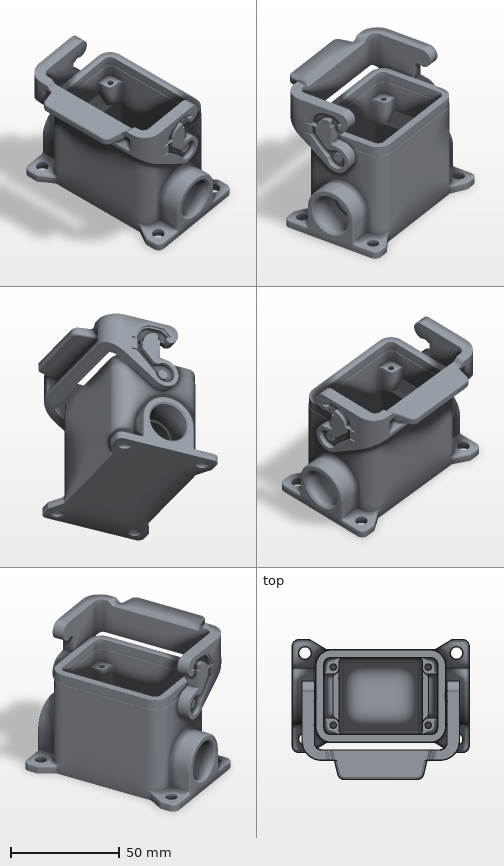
import cadquery as cq
import math

overlap = 0.8
tolerance = 0.1

body_x = 60.35
body_y = 43.1
body_height = 52.7
body_corner = 7.2
collar_bottom = 47.7
collar_step = 0.25

opening_x = 52.8
opening_y = 35.6
opening_corner = 3.1
well_x = 38.7
floor_z = 3.85
well_fillet = 2.0
well_floor_fillet = 1.9
post_top = 41.0
post_gap = 20.3
post_corner = 2.6
gap_corner = 0.8
ledge_z = 29.5
ledge_slope_run = 4.1
ledge_slope_rise = 4.1
post_hole_x = 22.0
post_hole_y = 13.45
post_hole_diameter = 2.95
post_hole_depth = 9.8

flange_x = 82.0
flange_y = 52.3
flange_height = 3.9
flange_corner = 3.1
foot_edge_x = 33.0
foot_root_x = 25.25
foot_setback = 0.04
foot_hole_x = 35.1
foot_hole_y = 19.9
foot_hole_diameter = 5.7
edge_fillet = 0.9
root_fillet = 1.0

port_z = 14.9
port_radius = 13.0
port_bore_radius = 9.5
port_bore_depth = 16.4
port_bore_chamfer = 0.8
port_hole_radius = 8.1

pivot_z = 43.5
pivot_radius = 7.0
lever_x = 73.0
lever_arm = 5.8
lever_front = 29.8
lever_web = 4.9
lever_top = 69.2
lever_corner = 9.2
lever_inner_corner = 3.4
web_bottom = 55.8
hook_radius = 4.6
hook_y = 2.3
slot_y = -2.6
slot_bottom = 50.9
hook_notch_start = -1.8
hook_notch_height = 0.8
neck_angle = 72.0
pin_radius = 2.5
washer_radius = 3.6
pin_inset = 1.6
pin_chamfer = 0.3

recess_depth = 2.8
rim_depth = 0.8
rim_width = 0.9
recess_hub_radius = 4.9
island_y, island_z, island_radius = -5.0, 57.3, 5.8
island_end_y = -3.7
island_chamfer = 0.6
bow_y, bow_z, bow_radius = -6.1, 57.8, 8.0
recess_tip_y, recess_tip_z = 2.0, 62.65
recess_tip_run = 3.4
recess_tip_rise = 1.0
recess_mouth_y = 1.0
link_outline = [
    (-14.3, 57.4), (-14.3, 51.75), (-4.3, 41.9), (-0.8, 43.5), (-2.5, 47.4), (-5.25, 47.4),
    (-10.1, 52.6), (-11.15, 53.5), (-11.65, 57.4),
]
ticks = [(57.4, 2.8, 1.3), (51.75, 2.8, 0.9)]

grip_front = 38.6
grip_top = 67.15
grip_bottom = 63.05
grip_root_bottom = 62.15
grip_front_half = 19.35
grip_root_half = 22.55
grip_corner = 3.3
notch_margin = 0.6
notch_fillet = 1.2
notch_slope = 45.0
grip_pocket_x = 53.0
grip_pocket_z = 8.4
grip_pocket_middle = 61.75
grip_pocket_corner = 1.2
grip_pocket_depth = 2.7
grip_pocket_fillet = 0.4


def box(size_x, size_y, bottom, top, corner):
    """Upright block centred on Z with rounded vertical edges."""
    block = cq.Workplane("XY").workplane(offset=bottom).rect(size_x, size_y).extrude(top - bottom)
    return block.edges("|Z").fillet(corner)


def both_sides(shape):
    """The shape together with its mirror image across the YZ plane."""
    return shape.union(shape.mirror("YZ"))


def make_feet():
    """The pair of feet and the flange strip at the +X end."""
    half_x = flange_x / 2
    half_y = flange_y / 2
    root_y = body_y / 2 - foot_setback
    outline = [
        (0, -root_y), (foot_root_x, -root_y), (foot_edge_x, -half_y), (half_x, -half_y),
        (half_x, half_y), (foot_edge_x, half_y), (foot_root_x, root_y), (0, root_y),
    ]
    feet = cq.Workplane("XY").polyline(outline).close().extrude(flange_height)
    feet = feet.edges("|Z and >X").fillet(flange_corner)
    outside = cq.selectors.BoxSelector(
        (foot_root_x, -flange_y, flange_height - tolerance), (flange_x, flange_y, flange_height + tolerance)
    )
    return feet.edges(outside).fillet(edge_fillet)


def make_port():
    """Round-topped boss for a cable at the +X end."""
    port = (
        cq.Workplane("YZ").moveTo(-port_radius, 0).lineTo(-port_radius, port_z)
        .threePointArc((0, port_z + port_radius), (port_radius, port_z)).lineTo(port_radius, 0).close()
        .extrude(flange_x / 2)
    )
    return port.faces(">X").edges("not <Z").fillet(edge_fillet)


def make_shell():
    """Body, feet and ports without any openings; the inner corners of feet and ports are rounded."""
    body = box(body_x, body_y, 0, collar_bottom, body_corner)
    end = body.union(make_feet()).union(make_port())
    wall = body_x / 2
    body_seams = cq.selectors.BoxSelector(
        (wall - body_corner / 2, -body_y / 2 + root_fillet, flange_height - root_fillet),
        (wall + root_fillet, body_y / 2 - root_fillet, port_z + port_radius - root_fillet),
    )
    port_feet = cq.selectors.BoxSelector(
        (wall, -port_radius - root_fillet, flange_height - root_fillet),
        (flange_x / 2 - root_fillet, port_radius + root_fillet, flange_height + root_fillet),
    )
    end = end.edges(body_seams + port_feet).fillet(root_fillet)
    collar = box(
        body_x - 2 * collar_step, body_y - 2 * collar_step,
        collar_bottom, body_height, body_corner - collar_step,
    )
    return both_sides(end).union(collar)


def make_cavity():
    """Hollow of the body: collar opening, room above the posts, well and the gap between posts."""
    room_x = opening_x - 2 * collar_step
    room_y = opening_y - 2 * collar_step
    half_gap = post_gap / 2
    opening = box(opening_x, opening_y, collar_bottom, body_height, opening_corner)
    room = box(room_x, room_y, post_top, collar_bottom, opening_corner)
    well = box(well_x, room_y, floor_z, collar_bottom, well_fillet)
    well = well.faces("<Z").edges().fillet(well_floor_fillet)
    half = room_x / 2
    gap = (
        cq.Workplane("XZ").workplane(offset=-half_gap)
        .polyline([
            (0, ledge_z), (half - ledge_slope_run, ledge_z),
            (half, ledge_z + ledge_slope_rise), (half, collar_bottom), (0, collar_bottom),
        ]).close().extrude(post_gap)
        .edges("|Z and >X").fillet(gap_corner)
    )
    flare = half_gap + post_corner
    widening = (
        cq.Workplane("XY").workplane(offset=ledge_z).moveTo(0, -flare).lineTo(well_x / 2, -flare)
        .radiusArc((well_x / 2 + post_corner, -half_gap), post_corner)
        .lineTo(well_x / 2 + post_corner, half_gap)
        .radiusArc((well_x / 2, flare), post_corner)
        .lineTo(0, flare).close().extrude(collar_bottom - ledge_z)
    )
    gap = both_sides(gap.union(widening))
    return opening.union(room).union(well).union(gap)


def make_holes():
    """Foot holes, blind holes in the posts and the bore through both ports."""
    feet = (
        cq.Workplane("XY").rect(2 * foot_hole_x, 2 * foot_hole_y, forConstruction=True).vertices()
        .circle(foot_hole_diameter / 2).extrude(flange_height)
    )
    posts = (
        cq.Workplane("XY").workplane(offset=post_top - post_hole_depth)
        .rect(2 * post_hole_x, 2 * post_hole_y, forConstruction=True).vertices()
        .circle(post_hole_diameter / 2).extrude(post_hole_depth)
    )
    mouth = flange_x / 2
    seat = mouth - port_bore_depth
    bore = (
        cq.Workplane("XY")
        .polyline([
            (0, 0), (0, port_hole_radius), (seat, port_hole_radius), (seat, port_bore_radius),
            (mouth - port_bore_chamfer, port_bore_radius), (mouth, port_bore_radius + port_bore_chamfer),
            (mouth, 0),
        ]).close().revolve(360, (0, 0, 0), (1, 0, 0)).translate((0, 0, port_z))
    )
    return feet.union(posts).union(both_sides(bore))


def make_bail():
    """U-shaped lever: the hooked side outline limited to a U in plan."""
    slope = math.atan2(web_bottom - pivot_z, lever_front)
    reach = math.hypot(lever_front, web_bottom - pivot_z)
    tangent = slope - math.acos(pivot_radius / reach)
    tangent_point = (-pivot_radius * math.cos(tangent), pivot_z + pivot_radius * math.sin(tangent))
    neck = math.radians(neck_angle)
    neck_point = (pivot_radius * math.cos(neck), pivot_z + pivot_radius * math.sin(neck))
    hook_z = lever_top - hook_radius
    hook_bottom = lever_top - 2 * hook_radius
    notch_crown = ((hook_notch_start + hook_y) / 2, hook_bottom + hook_notch_height)
    side = (
        cq.Workplane("YZ").workplane(offset=-lever_x / 2).moveTo(hook_y, lever_top)
        .lineTo(-lever_front, lever_top).lineTo(-lever_front, web_bottom).lineTo(*tangent_point)
        .threePointArc((pivot_radius, pivot_z), neck_point)
        .lineTo(slot_y, slot_bottom).lineTo(slot_y, hook_bottom).lineTo(hook_notch_start, hook_bottom)
        .threePointArc(notch_crown, (hook_y, hook_bottom))
        .threePointArc((hook_y + hook_radius, hook_z), (hook_y, lever_top)).close()
        .extrude(lever_x)
    )
    back = pivot_radius
    outer = cq.Workplane("XY").box(lever_x, lever_front + back, lever_top, centered=(True, False, False))
    outer = outer.translate((0, -lever_front, 0)).edges("|Z and <Y").fillet(lever_corner)
    inner_length = lever_front - lever_web + back
    inner = cq.Workplane("XY").box(
        lever_x - 2 * lever_arm, inner_length, lever_top, centered=(True, False, False)
    )
    inner = inner.translate((0, lever_web - lever_front, 0)).edges("|Z and <Y").fillet(lever_inner_corner)
    return side.intersect(outer.cut(inner))


def grip_half(y):
    """Half width of the tapered grip at a given Y."""
    run = (y + grip_front) / (lever_web - lever_front + grip_front)
    return grip_front_half + run * (grip_root_half - grip_front_half)


def make_grip():
    """Tapered finger plate with rounded edges, starting at the inner face of the lever front."""
    root = lever_web - lever_front
    front = -grip_front
    plan = (
        cq.Workplane("XY").workplane(offset=web_bottom)
        .polyline([
            (-grip_front_half, front), (grip_front_half, front),
            (grip_root_half, root), (-grip_root_half, root),
        ]).close().extrude(lever_top - web_bottom)
        .edges("|Z and <Y").fillet(grip_corner)
    )
    section = (
        cq.Workplane("YZ").workplane(offset=-grip_root_half)
        .polyline([(front, grip_bottom), (root, grip_root_bottom), (root, grip_top), (front, grip_top)])
        .close().extrude(2 * grip_root_half)
    )
    grip = plan.intersect(section)
    return grip.faces("<Z or >Z").edges("not >Y").fillet(edge_fillet)


def make_grip_notch():
    """Cut above the grip plate, with sides sloping outward."""
    root = lever_web - lever_front
    height = lever_top - grip_top
    spread = height * math.tan(math.radians(notch_slope))

    def trapezoid(workplane, extra):
        front_half = grip_half(-lever_front - overlap) + extra
        root_half = grip_half(root + overlap) + extra
        return workplane.polyline([
            (-front_half, -lever_front - overlap), (front_half, -lever_front - overlap),
            (root_half, root + overlap), (-root_half, root + overlap),
        ]).close()

    low = trapezoid(cq.Workplane("XY").workplane(offset=grip_top), notch_margin)
    return trapezoid(low.workplane(offset=height), notch_margin + spread).loft(ruled=True)


def make_grip_pocket():
    """Shallow pocket with sloping sides in the lever front, around the root of the grip."""
    shrink = 2 * grip_pocket_depth
    mouth = cq.Sketch().rect(grip_pocket_x, grip_pocket_z).vertices().fillet(grip_pocket_corner)
    floor = cq.Sketch().rect(grip_pocket_x - shrink, grip_pocket_z - shrink)
    floor = floor.vertices().fillet(grip_pocket_corner)
    face = cq.Workplane("XZ", origin=(0, -lever_front, grip_pocket_middle))
    return face.placeSketch(mouth, floor.moved(cq.Location(cq.Vector(0, 0, -grip_pocket_depth)))).loft()


def make_lever():
    """Bail with grip, notch and pocket."""
    lever = make_bail().cut(make_grip_pocket())
    reach_x = grip_pocket_x / 2 + tolerance
    reach_z = grip_pocket_z / 2 + tolerance
    pocket_mouth = cq.selectors.BoxSelector(
        (-reach_x, -lever_front - tolerance, grip_pocket_middle - reach_z),
        (reach_x, -lever_front + tolerance, grip_pocket_middle + reach_z),
    )
    web_middle = lever_web / 2 - lever_front
    notch_corners = cq.selectors.BoxSelector(
        (-lever_x / 2 + lever_corner, web_middle - overlap, grip_top - tolerance),
        (lever_x / 2 - lever_corner, web_middle + overlap, lever_top + tolerance),
    )
    lever = lever.edges(pocket_mouth).fillet(grip_pocket_fillet)
    lever = lever.cut(make_grip_notch()).edges(notch_corners).fillet(notch_fillet)
    return lever.union(make_grip())


def make_pins():
    """Pivot pins with a washer face against the body."""
    wall = body_x / 2 - overlap
    washer = cq.Workplane("YZ", origin=(wall, 0, pivot_z)).circle(washer_radius).extrude(
        lever_x / 2 - lever_arm - wall
    )
    pin = cq.Workplane("YZ", origin=(wall, 0, pivot_z)).circle(pin_radius).extrude(
        lever_x / 2 - pin_inset - wall
    )
    return both_sides(washer.union(pin.faces(">X").chamfer(pin_chamfer)))


def arm_recess(margin, depth):
    """Hook-shaped recess in the +X arm; its outer bow is widened by the margin."""
    bow = bow_radius + margin
    face = cq.Workplane("YZ", origin=(lever_x / 2 - depth, 0, 0))
    diagonal = math.sqrt(0.5)
    tip_y = recess_tip_y + margin
    hook_bottom = lever_top - 2 * hook_radius
    island_top = island_z + island_radius
    return (
        face.moveTo(bow_y - bow, bow_z)
        .threePointArc((bow_y - bow * diagonal, bow_z + bow * diagonal), (bow_y, bow_z + bow))
        .lineTo(tip_y - recess_tip_run, bow_z + bow).lineTo(tip_y, recess_tip_z + recess_tip_rise)
        .lineTo(tip_y, recess_tip_z).lineTo(recess_mouth_y, recess_tip_z)
        .lineTo(recess_mouth_y, hook_bottom).lineTo(island_end_y, hook_bottom)
        .lineTo(island_end_y, island_top - island_chamfer).lineTo(island_end_y - island_chamfer, island_top)
        .lineTo(island_y, island_top)
        .threePointArc(
            (island_y - island_radius * diagonal, island_z + island_radius * diagonal),
            (island_y - island_radius, island_z),
        ).close().extrude(depth)
    )


def make_recess():
    """All cuts in the outer face of the +X arm."""
    hub = cq.Workplane("YZ", origin=(lever_x / 2 - recess_depth, 0, pivot_z)).circle(recess_hub_radius)
    hub = hub.extrude(recess_depth)
    link = cq.Workplane("YZ", origin=(lever_x / 2 - recess_depth, 0, 0)).polyline(link_outline)
    link = link.close().extrude(recess_depth)
    recess = arm_recess(0, recess_depth).union(arm_recess(rim_width, rim_depth)).union(hub).union(link)
    for low, width, height in ticks:
        tick = cq.Workplane("XY").box(rim_depth, width, height, centered=False)
        recess = recess.union(tick.translate((lever_x / 2 - rim_depth, bow_y - bow_radius - width, low)))
    return recess


shell = make_shell().cut(make_cavity()).cut(make_holes())
lever = make_lever().cut(both_sides(make_recess()))
result = shell.union(lever).union(make_pins())